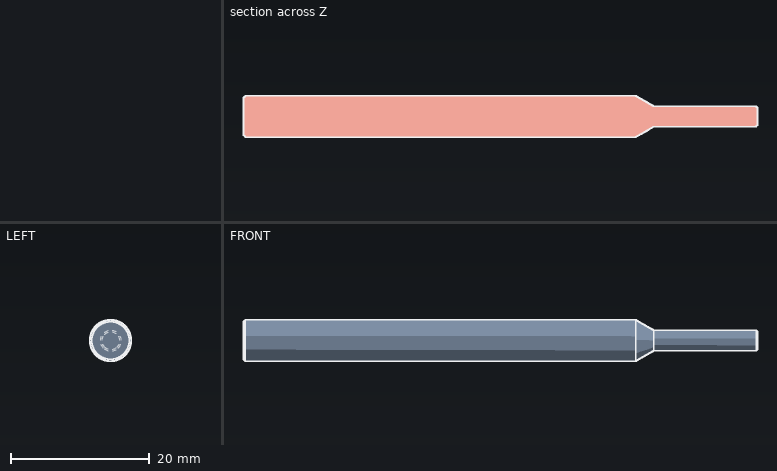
import cadquery as cq
import math

total_length = 74.0
shank_radius = 6.0 / 2
tip_radius = shank_radius / 2
tip_length = 14.95
cone_half_angle = 30.0
shank_chamfer = 0.3
tip_chamfer = 0.2

cone_length = (shank_radius - tip_radius) / math.tan(math.radians(cone_half_angle))
cone_end = total_length - tip_length
cone_start = cone_end - cone_length

half_profile = (
    cq.Workplane("XY")
    .moveTo(0, 0)
    .lineTo(0, shank_radius - shank_chamfer)
    .lineTo(shank_chamfer, shank_radius)
    .lineTo(cone_start, shank_radius)
    .lineTo(cone_end, tip_radius)
    .lineTo(total_length - tip_chamfer, tip_radius)
    .lineTo(total_length, tip_radius - tip_chamfer)
    .lineTo(total_length, 0)
    .close()
)

result = half_profile.revolve(360, (0, 0, 0), (1, 0, 0))